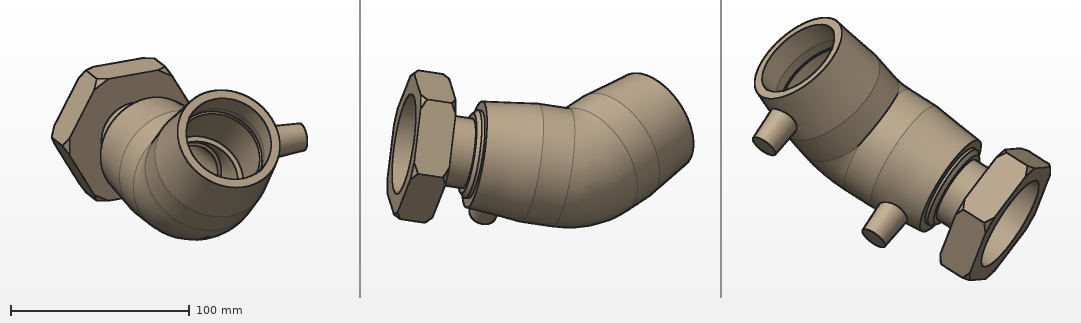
import cadquery as cq
import math

NUT_FLATS = 73.7
NUT_LENGTH = 20.3
NUT_BORE = 56.6
NUT_BORE_DEPTH = 16.6
NUT_CORNER_CUT = 3.0

NECK_DIAMETER = 39.7
COLLAR_START = 36.5
COLLAR_DIAMETER = 50.0
COLLAR_CHAMFER = 2.3
INLET_BORE = 38.0
SEAT_DIAMETER = 45.3
SEAT_HEIGHT = 1.3

BODY_START = 40.7
BODY_DIAMETER = 67.0
MOUTH_DIAMETER = 60.3
TAPER_LENGTH = 31.5
STRAIGHT_LENGTH = 18.1

BEND_ANGLE = 45.0
BEND_RADIUS = 27.2
BEND_BORE = 42.5

SOCKET_DIAMETER = 50.0
SOCKET_LAND = 13.3
RELIEF_DIAMETER = 51.6
SOCKET_DEPTH = 19.5
OUTLET_BORE = 48.8

TERMINAL_REACH = 51.0
TERMINAL_ROOT = 26.5
TERMINAL_TIP_DIAMETER = 15.6
TERMINAL_ROOT_DIAMETER = 19.0
TERMINAL_SETBACK = 17.1

LEG_LENGTH = TAPER_LENGTH + STRAIGHT_LENGTH
BEND_START = BODY_START + LEG_LENGTH
bend_radians = math.radians(BEND_ANGLE)
outlet_direction = cq.Vector(math.cos(bend_radians), 0, math.sin(bend_radians))
bend_end = cq.Vector(
    BEND_START + BEND_RADIUS * math.sin(bend_radians),
    0,
    BEND_RADIUS * (1 - math.cos(bend_radians)),
)
outlet_end = bend_end + outlet_direction * LEG_LENGTH


def plane_along(origin, direction):
    """Work plane whose normal follows a pipe axis and whose local x is +Y."""
    return cq.Plane(origin=origin, xDir=(0, 1, 0), normal=direction)


def inlet_plane(x):
    return plane_along((x, 0, 0), (1, 0, 0))


def cylinder(plane, diameter, length):
    return cq.Workplane(plane).circle(diameter / 2).extrude(length)


def cone(plane, start_diameter, end_diameter, length):
    section = cq.Workplane(plane).circle(start_diameter / 2)
    return section.workplane(offset=length).circle(end_diameter / 2).loft(ruled=True)


def hex_prism(flats, first_corner_angle):
    """Hexagonal prism along X; the angle is measured from +Y."""
    across_corners = flats / math.cos(math.pi / 6)
    plane = inlet_plane(0).rotated((0, 0, first_corner_angle))
    return cq.Workplane(plane).polygon(6, across_corners).extrude(NUT_LENGTH)


def make_nut():
    """Hexagonal nut with a flat 45 degree cut at both ends of each corner."""
    across_corners = NUT_FLATS / math.cos(math.pi / 6)
    corner_cutter = hex_prism(across_corners, 30).faces("<X or >X").chamfer(NUT_CORNER_CUT)
    return hex_prism(NUT_FLATS, 0).intersect(corner_cutter)


def make_neck():
    """Tube joining the nut to the body, with a chamfered collar."""
    neck = cylinder(inlet_plane(NUT_BORE_DEPTH), NECK_DIAMETER, BODY_START - NUT_BORE_DEPTH)
    collar = cylinder(inlet_plane(COLLAR_START), COLLAR_DIAMETER, BODY_START - COLLAR_START)
    return neck.union(collar.faces("<X").chamfer(COLLAR_CHAMFER))


def make_leg(mouth, inward):
    """Body leg running inward from its mouth: a taper, then a straight barrel."""
    taper = cone(plane_along(mouth, inward), MOUTH_DIAMETER, BODY_DIAMETER, TAPER_LENGTH)
    barrel_start = mouth + inward * TAPER_LENGTH
    return taper.union(cylinder(plane_along(barrel_start, inward), BODY_DIAMETER, STRAIGHT_LENGTH))


def revolve_bend(section):
    """Turn a section in the plane of the bend's start upward about the bend centre."""
    return section.revolve(BEND_ANGLE, (1.7, BEND_RADIUS, 0), (-1.7, BEND_RADIUS, 0))


def make_bend():
    """Outer elbow; the section stops at the bend centre, which lies inside the pipe."""
    radius = BODY_DIAMETER / 2
    half_chord = math.sqrt(radius**2 - BEND_RADIUS**2)
    section = (
        cq.Workplane(inlet_plane(BEND_START))
        .moveTo(-half_chord, BEND_RADIUS)
        .threePointArc((0, -radius), (half_chord, BEND_RADIUS))
        .close()
    )
    return cq.Workplane(revolve_bend(section).val().toNURBS())


def make_terminal(position):
    """Tapered terminal pointing along +Y from a point on a pipe axis."""
    root = cq.Plane(
        origin=position + cq.Vector(0, TERMINAL_ROOT, 0), xDir=(1, 0, 0), normal=(0, 1, 0)
    )
    length = TERMINAL_REACH - TERMINAL_ROOT
    return cone(root, TERMINAL_ROOT_DIAMETER, TERMINAL_TIP_DIAMETER, length)


def make_passage():
    """Nut recess around a raised seat, inlet bore, bend bore and stepped outlet socket."""
    recess = cylinder(inlet_plane(0), NUT_BORE, NUT_BORE_DEPTH)
    seat_plane = inlet_plane(NUT_BORE_DEPTH - SEAT_HEIGHT)
    recess = recess.cut(cylinder(seat_plane, SEAT_DIAMETER, SEAT_HEIGHT))
    inlet = cylinder(inlet_plane(0), INLET_BORE, BEND_START)
    bend = revolve_bend(cq.Workplane(inlet_plane(BEND_START)).circle(BEND_BORE / 2))
    outlet = cylinder(plane_along(bend_end, outlet_direction), OUTLET_BORE, LEG_LENGTH)

    inward = outlet_direction * -1
    land = cylinder(plane_along(outlet_end, inward), SOCKET_DIAMETER, SOCKET_LAND)
    relief_plane = plane_along(outlet_end + inward * SOCKET_LAND, inward)
    relief = cone(relief_plane, SOCKET_DIAMETER, RELIEF_DIAMETER, SOCKET_DEPTH - SOCKET_LAND)
    return recess.union(inlet).union(bend).union(outlet).union(land).union(relief)


inlet_mouth = cq.Vector(BODY_START, 0, 0)
inlet_direction = cq.Vector(1, 0, 0)

result = make_nut().union(make_neck())
result = result.union(make_leg(inlet_mouth, inlet_direction)).union(make_bend())
result = result.union(make_leg(outlet_end, outlet_direction * -1))
for terminal_position in (
    inlet_mouth + inlet_direction * TERMINAL_SETBACK,
    outlet_end - outlet_direction * TERMINAL_SETBACK,
):
    result = result.union(make_terminal(terminal_position))
result = result.cut(make_passage())